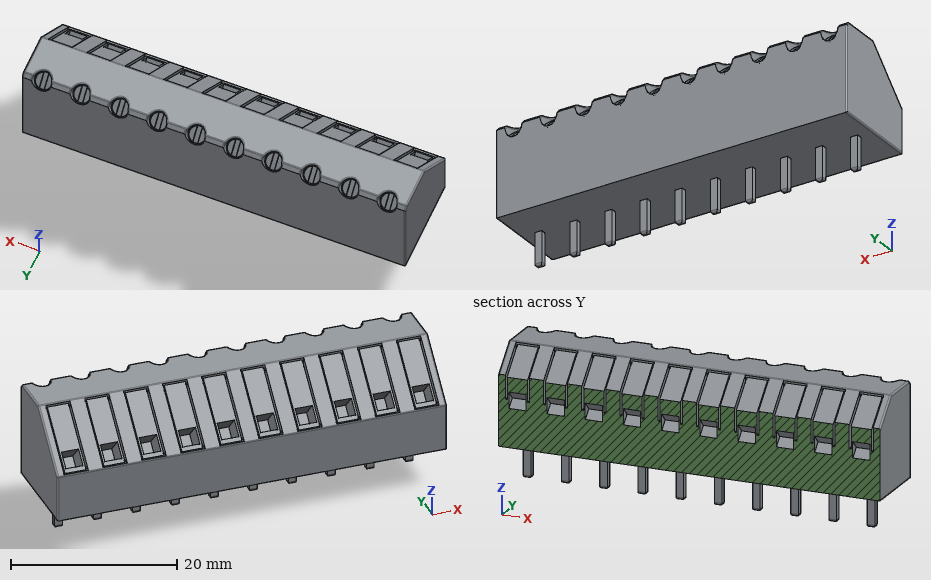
import cadquery as cq
import math

POLES = 10
PITCH = 5.0
LENGTH = POLES * PITCH
DEPTH = 12.5
HEIGHT = 12.5
SLOPE_TOP_Y = 6.55
SLOPE_BOTTOM_Z = 6.08
BACK_CHAMFER = 0.5
EDGE_FILLET = 0.2

POCKET_WIDTH = 3.1
POCKET_MARGIN = 0.16
LEVER_SIDE_GAP = 0.2
LEVER_END_GAP = 0.04
LEVER_SINK = 0.18
LEVER_WIDTH = POCKET_WIDTH - 2 * LEVER_SIDE_GAP
LEVER_ROOT_DEPTH = 6.0

WINDOW_WIDTH = 2.2
WINDOW_LENGTH = 2.13
WINDOW_BELOW_CENTRE = 2.62
WINDOW_DEPTH = 3.0

SCREW_TILT = 45.0
SCREW_HEAD_DIAMETER = 2.16
SCREW_BORE_DIAMETER = 2.46
SCREW_AXIS_DROP = 0.28
SCREW_BORE_DEPTH = 1.45
SCREW_HEAD_HEIGHT = 0.2
SCREW_MOUTH_FILLET = 0.15
SCREW_SLOT_WIDTH = 0.65
SCREW_SLOT_DEPTH = 0.3

PIN_WIDTH = 1.0
PIN_THICKNESS = 0.75
PIN_LENGTH = 4.6
PIN_TIP_FILLET = 0.3
PIN_Y = 6.55

MATCH_TOLERANCE = 0.01

SLOPE_RISE = HEIGHT - SLOPE_BOTTOM_Z
SLOPE_LENGTH = math.hypot(SLOPE_TOP_Y, SLOPE_RISE)
POLE_CENTRES = [(pole + 0.5) * PITCH for pole in range(POLES)]


def slope_plane(x):
    """Plane on the middle of the slope: local X along the part, local Y up the slope, Z outward."""
    return cq.Plane(
        origin=(x, SLOPE_TOP_Y / 2, (HEIGHT + SLOPE_BOTTOM_Z) / 2),
        xDir=(1, 0, 0),
        normal=(0, -SLOPE_RISE, SLOPE_TOP_Y),
    )


def screw_plane(x, depth):
    """Plane across a screw axis, at a depth along it from the rear face, Z outward."""
    tilt = math.radians(SCREW_TILT)
    return cq.Plane(
        origin=(x, DEPTH - depth * math.sin(tilt), HEIGHT - SCREW_AXIS_DROP - depth * math.cos(tilt)),
        xDir=(1, 0, 0),
        normal=(0, math.sin(tilt), math.cos(tilt)),
    )


def is_ahead_of_rear(edge):
    return edge.Center().y < DEPTH - MATCH_TOLERANCE


def make_housing():
    profile = [
        (0, 0),
        (DEPTH, 0),
        (DEPTH, HEIGHT - BACK_CHAMFER),
        (DEPTH - BACK_CHAMFER, HEIGHT),
        (SLOPE_TOP_Y, HEIGHT),
        (0, SLOPE_BOTTOM_Z),
    ]
    block = cq.Workplane("YZ").polyline(profile).close().extrude(LENGTH)
    end_edges = block.faces("<X or >X").edges()
    slope_edges = block.faces("not (|X or |Y or |Z)").edges("|X").filter(is_ahead_of_rear)
    return end_edges.add(slope_edges).fillet(EDGE_FILLET)


def is_bore_wall(face):
    return abs(face.BoundingBox().xlen - SCREW_BORE_DIAMETER) < MATCH_TOLERANCE


def is_rounded_mouth_edge(edge):
    """True for the mouth edges ahead of the rear face, leaving out the floor circle and the seam."""
    return is_ahead_of_rear(edge) and edge.geomType() != "LINE" and not edge.IsClosed()


def cut_screw_bores(housing):
    """Tilted blind bores that break through the top rear edge, each with a rounded mouth."""
    for x in POLE_CENTRES:
        bore = (
            cq.Workplane(screw_plane(x, SCREW_BORE_DEPTH))
            .circle(SCREW_BORE_DIAMETER / 2)
            .extrude(SCREW_BORE_DEPTH + SCREW_BORE_DIAMETER)
        )
        housing = housing.cut(bore)
    walls = housing.faces("%CYLINDER").filter(is_bore_wall)
    return walls.edges().filter(is_rounded_mouth_edge).fillet(SCREW_MOUTH_FILLET)


def make_lever_pocket(x):
    """Triangular pocket with an upright rear wall and a level floor, open through the slope."""
    run = POCKET_MARGIN * SLOPE_TOP_Y / SLOPE_LENGTH
    rise = POCKET_MARGIN * SLOPE_RISE / SLOPE_LENGTH
    rear_y = SLOPE_TOP_Y - run
    floor_z = SLOPE_BOTTOM_Z + rise
    return (
        cq.Workplane("YZ", origin=(x - POCKET_WIDTH / 2, 0, 0))
        .polyline([(run, floor_z), (rear_y, floor_z), (rear_y, HEIGHT - rise)])
        .close()
        .extrude(POCKET_WIDTH)
    )


def make_lever(x):
    """Block square to the slope, its outer face sunk and its root buried in the housing."""
    length = SLOPE_LENGTH - 2 * (POCKET_MARGIN + LEVER_END_GAP)
    return (
        cq.Workplane(slope_plane(x))
        .workplane(offset=-LEVER_SINK)
        .rect(LEVER_WIDTH, length)
        .extrude(LEVER_SINK - LEVER_ROOT_DEPTH)
    )


def make_window(x):
    return (
        cq.Workplane(slope_plane(x))
        .center(0, -WINDOW_BELOW_CENTRE)
        .rect(WINDOW_WIDTH, WINDOW_LENGTH)
        .extrude(-WINDOW_DEPTH)
    )


def make_screw_head(x):
    return (
        cq.Workplane(screw_plane(x, SCREW_BORE_DEPTH))
        .circle(SCREW_HEAD_DIAMETER / 2)
        .extrude(SCREW_HEAD_HEIGHT)
    )


def make_screw_slot(x):
    return (
        cq.Workplane(screw_plane(x, SCREW_BORE_DEPTH - SCREW_HEAD_HEIGHT))
        .rect(SCREW_SLOT_WIDTH, SCREW_HEAD_DIAMETER)
        .extrude(-SCREW_SLOT_DEPTH)
    )


def make_pin(x):
    return (
        cq.Workplane("XY", origin=(x, PIN_Y, 0))
        .rect(PIN_WIDTH, PIN_THICKNESS)
        .extrude(-PIN_LENGTH)
        .faces("<Z")
        .edges()
        .fillet(PIN_TIP_FILLET)
    )


result = cut_screw_bores(make_housing())
for centre in POLE_CENTRES:
    result = result.cut(make_lever_pocket(centre)).union(make_lever(centre)).cut(make_window(centre))
    result = result.union(make_screw_head(centre)).cut(make_screw_slot(centre))
    result = result.union(make_pin(centre))